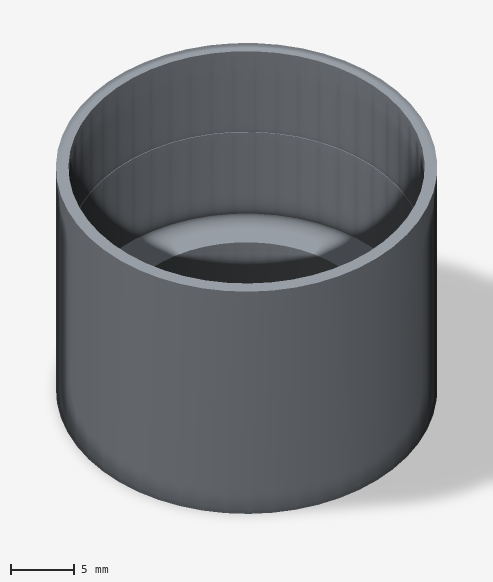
import cadquery as cq

outer_diameter = 30.2
height = 23.2
entry_bore_diameter = 28.2
entry_bore_depth = 8.4
seat_bore_diameter = 28.1
floor_depth = 16.9
floor_hole_diameter = 21.1


def bore_from_top(diameter, depth):
    """Cylinder on the sleeve axis, reaching down from the top rim."""
    return cq.Workplane("XY").workplane(offset=height - depth).circle(diameter / 2).extrude(depth)


sleeve = cq.Workplane("XY").circle(outer_diameter / 2).extrude(height)

entry_bore = bore_from_top(entry_bore_diameter, entry_bore_depth)
seat_bore = bore_from_top(seat_bore_diameter, floor_depth)
floor_hole = bore_from_top(floor_hole_diameter, height)

result = sleeve.cut(entry_bore).cut(seat_bore).cut(floor_hole)